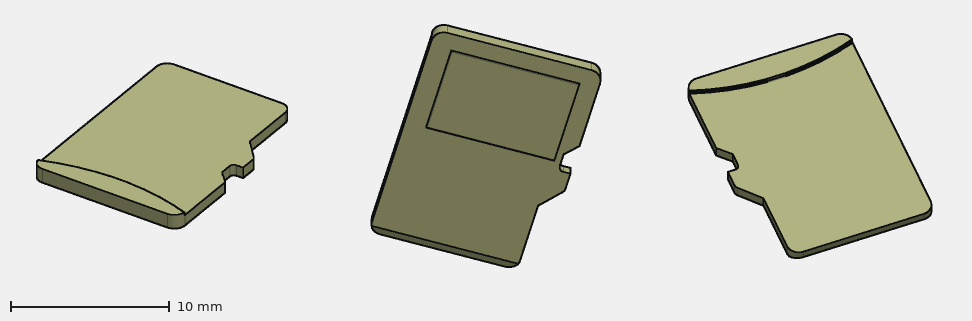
import cadquery as cq
import math

width = 11.05
length = 15.03
body_thickness = 0.8
corner_radius = 0.8

neck_width = 9.72
shoulder_top_y = 10.19
shoulder_bottom_y = 8.7
shoulder_radius = 0.4

notch_floor_x = width - 0.8
notch_top_y = 7.42
notch_slope_top_y = 6.24
notch_slope_bottom_y = 5.4
notch_radius = 0.3

lip_height = 0.24
lip_side_y = 0.77
lip_crown_y = 1.71
lip_blend_radius = 0.05

bevel_length = 0.54
bevel_height = 0.21

pad_left_x = 1.38
pad_right_x = 9.8
pad_bottom_y = 1.13
pad_top_y = 6.81
pad_thickness = 0.09
pad_edge_radius = 0.05


def card_blank(thickness):
    """Card outline extruded up from the underside, with its vertical edges rounded."""
    outline = [
        (0, 0),
        (width, 0),
        (width, notch_slope_bottom_y),
        (notch_floor_x, notch_slope_top_y),
        (notch_floor_x, notch_top_y),
        (width, notch_top_y),
        (width, shoulder_bottom_y),
        (neck_width, shoulder_top_y),
        (neck_width, length),
        (0, length),
    ]
    blank = cq.Workplane("XY").polyline(outline).close().extrude(thickness)

    def round_edge(solid, x, y, radius):
        nearest = cq.selectors.NearestToPointSelector((x, y, thickness / 2))
        return solid.edges("|Z").edges(nearest).fillet(radius)

    for x, y in [(0, 0), (width, 0), (neck_width, length), (0, length)]:
        blank = round_edge(blank, x, y, corner_radius)
    blank = round_edge(blank, width, shoulder_bottom_y, shoulder_radius)
    return round_edge(blank, notch_floor_x, notch_top_y, notch_radius)


def grip_lip():
    """Part of a card blank inside a large round disc whose rim is rounded at top and root."""
    rise = lip_crown_y - lip_side_y
    arc_radius = (width / 2) ** 2 / (2 * rise) + rise / 2
    lip_top = body_thickness + lip_height
    blend_offset = lip_blend_radius * (1 - math.sqrt(0.5))
    root_mid = (arc_radius + blend_offset, body_thickness + blend_offset)
    rim_mid = (arc_radius - blend_offset, lip_top - blend_offset)
    disc = (
        cq.Workplane("XZ")
        .moveTo(0, body_thickness)
        .lineTo(arc_radius + lip_blend_radius, body_thickness)
        .threePointArc(root_mid, (arc_radius, body_thickness + lip_blend_radius))
        .lineTo(arc_radius, lip_top - lip_blend_radius)
        .threePointArc(rim_mid, (arc_radius - lip_blend_radius, lip_top))
        .lineTo(0, lip_top)
        .close()
        .revolve(360, (0, 0, 0), (0, 1, 0))
        .translate((width / 2, lip_crown_y - arc_radius, 0))
    )
    return card_blank(lip_top).intersect(disc)


def insertion_bevel():
    """Wedge removed from the underside at the insertion end."""
    return (
        cq.Workplane("YZ")
        .polyline([(length - bevel_length, 0), (length, 0), (length, bevel_height)])
        .close()
        .extrude(width)
    )


def underside_pad():
    """Thin plate standing below the underside, rounded around its lower face."""
    pad_size = (pad_right_x - pad_left_x, pad_top_y - pad_bottom_y, pad_thickness)
    return (
        cq.Workplane("XY")
        .box(*pad_size, centered=False)
        .faces("<Z")
        .edges()
        .fillet(pad_edge_radius)
        .translate((pad_left_x, pad_bottom_y, -pad_thickness))
    )


body = card_blank(body_thickness).cut(insertion_bevel())
result = body.union(grip_lip()).union(underside_pad())